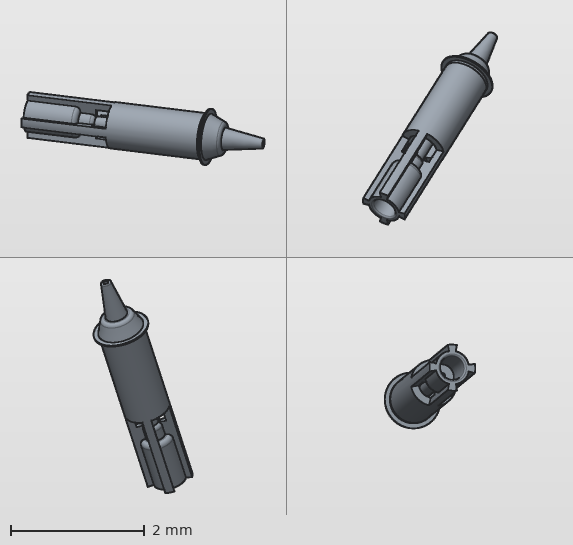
import cadquery as cq
import math

length = 3.69

body_diameter = 0.7
slot_end = 1.325
rib_count = 4
rib_angle = 23.2
tube_diameter = 0.51
tube_end = 0.825
tube_round = 0.077
neck_diameter = 0.303
neck_end = 1.07
neck_round = 0.07
rod_diameter = 0.21
clearance_diameter = 0.465
clearance_end = 1.845

body_end = 2.76
groove_diameter = 0.605
flange_start = 2.808
flange_end = 2.83
flange_diameter = 0.85
nose_end = 3.085
nose_end_diameter = 0.487
nose_round = 0.075
cone_base_diameter = 0.34
tip_diameter = 0.155
tip_round = 0.007

mouth_round = 0.025
socket_diameter = 0.365
socket_floor_diameter = 0.358
socket_depth = 0.738
channel_diameter = 0.1
tip_hole_diameter = 0.075


def revolve(stations):
    """Turn (x, diameter) stations, closed along the axis, into a solid of revolution."""
    points = [(x, diameter / 2) for x, diameter in stations]
    outline = [(points[0][0], 0)] + points + [(points[-1][0], 0)]
    return cq.Workplane("XY").polyline(outline).close().revolve(360, (0, 0, 0), (1, 0, 0))


def cylinder(start, end, diameter):
    return revolve([(start, diameter), (end, diameter)])


def make_body():
    """Plain body with groove, flange, rounded nose and tapered tip."""
    body = revolve([
        (slot_end, body_diameter),
        (body_end, body_diameter),
        (body_end, groove_diameter),
        (flange_start, body_diameter),
        (flange_start, flange_diameter),
        (flange_end, flange_diameter),
        (flange_end, body_diameter),
        (nose_end, nose_end_diameter),
    ])
    body = body.faces(">X").edges().fillet(nose_round)
    tip = revolve([(nose_end, cone_base_diameter), (length, tip_diameter)])
    tip = tip.faces(">X").edges().fillet(tip_round)
    return body.union(tip)


def make_ribs():
    """Ribs with radial sides, spread evenly around the axis."""
    half_angle = math.radians(rib_angle / 2)
    reach = body_diameter
    half_width = reach * math.sin(half_angle)
    height = reach * math.cos(half_angle)
    wedge = (
        cq.Workplane("YZ")
        .polyline([(0, 0), (half_width, height), (-half_width, height)])
        .close()
        .extrude(slot_end)
    )
    rib = wedge.intersect(cylinder(0, slot_end, body_diameter))
    ribs = rib
    for index in range(1, rib_count):
        ribs = ribs.union(rib.rotate((0, 0, 0), (1, 0, 0), index * 360 / rib_count))
    return ribs


def make_core():
    """Stepped core inside the ribs: rounded tube, rounded neck and thin rod."""
    tube = cylinder(0, tube_end, tube_diameter).faces(">X").edges().fillet(tube_round)
    neck = cylinder(0, neck_end, neck_diameter).faces(">X").edges().fillet(neck_round)
    rod = cylinder(0, clearance_end, rod_diameter)
    return tube.union(neck).union(rod)


def make_bore():
    """Slightly tapered blind socket, then a fine channel narrowing to the tip."""
    return revolve([
        (0, socket_diameter),
        (socket_depth, socket_floor_diameter),
        (socket_depth, channel_diameter),
        (length, tip_hole_diameter),
    ])


result = make_body().union(make_ribs())
result = result.cut(cylinder(neck_end, clearance_end, clearance_diameter))
result = result.union(make_core()).cut(make_bore())

mouth_edge = cq.selectors.RadiusNthSelector(0)
result = result.faces("<X").edges(mouth_edge).fillet(mouth_round)